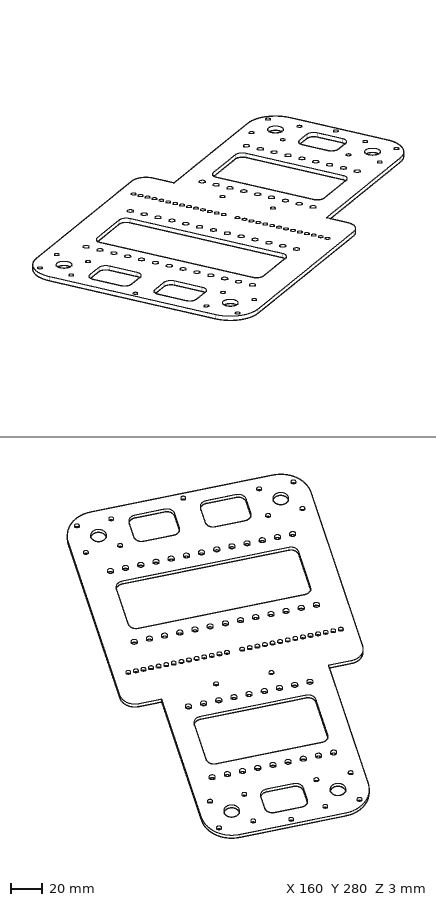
import cadquery as cq
import math

length = 280.0
thickness = 3.0
pitches_along_length = 28
pitch = length / pitches_along_length
base_width = 16 * pitch
base_length = 16 * pitch
neck_width = 11 * pitch
end_radius = 2 * pitch
shoulder_radius = pitch

window_y = 6 * pitch
window_height = 4 * pitch
neck_window_width = 8 * pitch
base_window_width = 12 * pitch
opening_radius = 5.0

neck_slot_width = 28.0
neck_slot_height = 20.0
neck_slot_y = 118.2
base_slot_width = 30.0
base_slot_height = 22.0
base_slot_x = 23.5
base_slot_y = -119.3

grid_hole_diameter = 4.0
row_offset = 3 * pitch
neck_row_count = 9
base_row_count = 13

shaft_hole_diameter = pitch
shaft_y = 12 * pitch
neck_shaft_x = 3.5 * pitch
base_shaft_x = 6 * pitch
bolt_circle_radius = 16.0
bolt_count = 4

small_hole_diameter = 3.0
end_hole_inset = 4.0
pair_hole_x = 18.2
pair_hole_y = 16.5
fine_row_y = -6.7
fine_pitch = pitch / 2
fine_holes_per_side = 14


def plate_blank():
    """Wide base with rounded corners, stepping in to a narrower neck."""
    half_length = length / 2
    shoulder_y = base_length - half_length
    blank = (
        cq.Workplane("XY", origin=(0, 0, -thickness / 2))
        .moveTo(-base_width / 2, -half_length)
        .lineTo(base_width / 2, -half_length)
        .lineTo(base_width / 2, shoulder_y)
        .lineTo(neck_width / 2, shoulder_y)
        .lineTo(neck_width / 2, half_length)
        .lineTo(-neck_width / 2, half_length)
        .lineTo(-neck_width / 2, shoulder_y)
        .lineTo(-base_width / 2, shoulder_y)
        .close()
        .extrude(thickness)
        .edges("|Z and (<Y or >Y)")
        .fillet(end_radius)
    )
    for x in (-base_width / 2, base_width / 2):
        corner = cq.selectors.NearestToPointSelector((x, shoulder_y, 0))
        blank = blank.edges(corner).fillet(shoulder_radius)
    return blank


def opening(width, height, x, y):
    """Plate-thick cutter for a rounded rectangle centred on (x, y)."""
    block = cq.Workplane("XY").box(width, height, thickness)
    return block.edges("|Z").fillet(opening_radius).translate((x, y, 0))


def hole_cutters(points, diameter):
    """Plate-thick cylinders at the given points."""
    plane = cq.Workplane("XY", origin=(0, 0, -thickness / 2))
    return plane.pushPoints(points).circle(diameter / 2).extrude(thickness)


def grid_row(count, y):
    """Points one pitch apart along X, centred on the plate."""
    first_x = -(count - 1) / 2 * pitch
    return [(first_x + i * pitch, y) for i in range(count)]


def bolt_circle(x, y):
    """Points evenly spaced around (x, y), starting on the diagonal."""
    points = []
    for i in range(bolt_count):
        angle = math.radians(45 + i * 360 / bolt_count)
        bolt_x = x + bolt_circle_radius * math.cos(angle)
        bolt_y = y + bolt_circle_radius * math.sin(angle)
        points.append((bolt_x, bolt_y))
    return points


openings = [
    opening(neck_window_width, window_height, 0, window_y),
    opening(base_window_width, window_height, 0, -window_y),
    opening(neck_slot_width, neck_slot_height, 0, neck_slot_y),
    opening(base_slot_width, base_slot_height, -base_slot_x, base_slot_y),
    opening(base_slot_width, base_slot_height, base_slot_x, base_slot_y),
]

grid_points = []
for offset in (-row_offset, row_offset):
    grid_points += grid_row(neck_row_count, window_y + offset)
    grid_points += grid_row(base_row_count, -window_y + offset)

shaft_points = []
for side in (-1, 1):
    shaft_points.append((side * neck_shaft_x, shaft_y))
    shaft_points.append((side * base_shaft_x, -shaft_y))

small_points = []
for shaft_point in shaft_points:
    small_points += bolt_circle(*shaft_point)
for side in (-1, 1):
    small_points.append((0, side * (length / 2 - end_hole_inset)))
    small_points.append((side * pair_hole_x, pair_hole_y))
    for i in range(1, fine_holes_per_side + 1):
        small_points.append((side * i * fine_pitch, fine_row_y))

result = plate_blank()
for cutter in openings:
    result = result.cut(cutter)
result = result.cut(hole_cutters(shaft_points, shaft_hole_diameter))
result = result.cut(hole_cutters(grid_points, grid_hole_diameter))
result = result.cut(hole_cutters(small_points, small_hole_diameter))